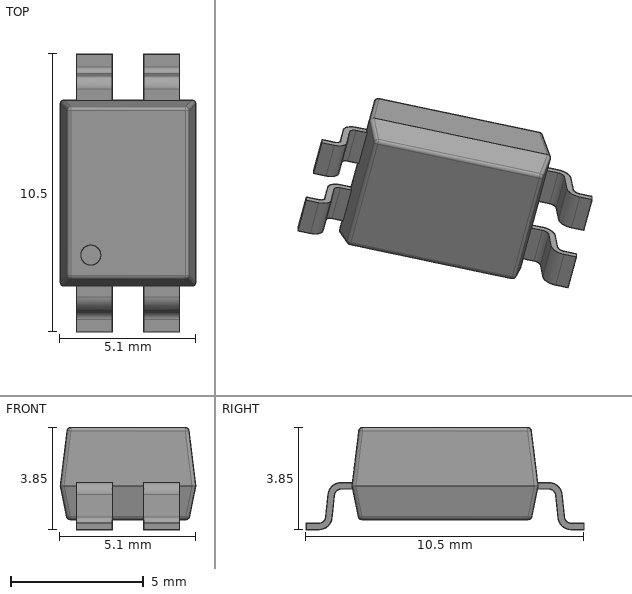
import cadquery as cq
import math

overall_length = 10.46
overall_height = 3.85
body_width = 5.1
body_length = 7.01
body_bottom = 0.38
seam_height = 1.65
upper_draft = 7.0
lower_draft = 11.5
body_fillet = 0.15

lead_thickness = 0.25
lead_width = 1.36
lead_pitch = 2.53
lead_lean = 6.0
knee_y = 4.36
inner_bend_radius = 0.25
outer_bend_radius = inner_bend_radius + lead_thickness
lead_embed = 0.31

marker_radius = 0.38
marker_depth = 0.1
marker_x = -1.4
marker_y = -2.33


def make_half(height, draft):
    """Tapered half of the moulded body, growing away from the seam."""
    return (
        cq.Workplane("XY")
        .workplane(offset=seam_height)
        .rect(body_width, body_length)
        .extrude(height, taper=draft)
    )


def make_body():
    """Two tapered halves with every edge rounded except the sharp seam."""
    upper = make_half(overall_height - seam_height, upper_draft)
    lower = make_half(body_bottom - seam_height, lower_draft)
    body = upper.union(lower)
    slanted_edges = body.edges("not(#Z)")
    rounded_edges = slanted_edges.add(body.faces("|Z").edges())
    return rounded_edges.fillet(body_fillet)


def make_lead():
    """Gull-wing lead on the +Y end, centred on X = 0."""
    slope = math.tan(math.radians(lead_lean))
    wall = lead_thickness / math.cos(math.radians(lead_lean))
    top = seam_height + lead_thickness / 2
    underside = top - lead_thickness
    root_y = body_length / 2 - lead_embed
    toe_y = overall_length / 2

    def outer_y(z):
        return knee_y + (top - z) * slope

    def inner_y(z):
        return outer_y(z) - wall

    upper_outer = (outer_y(top), top)
    lower_inner = (outer_y(lead_thickness), lead_thickness)
    upper_inner = (inner_y(underside), underside)
    lower_outer = (inner_y(0), 0)
    outline = [
        (root_y, top),
        upper_outer,
        lower_inner,
        (toe_y, lead_thickness),
        (toe_y, 0),
        lower_outer,
        upper_inner,
        (root_y, underside),
    ]
    lead = cq.Workplane("YZ").polyline(outline).close().extrude(lead_width / 2, both=True)

    def round_corners(solid, corners, radius):
        for y, z in corners:
            edge = cq.selectors.NearestToPointSelector((0, y, z))
            solid = solid.edges(edge).fillet(radius)
        return solid

    lead = round_corners(lead, [upper_outer, lower_outer], outer_bend_radius)
    return round_corners(lead, [upper_inner, lower_inner], inner_bend_radius)


def make_marker():
    """Disc set flush with the top face beside pin 1."""
    return (
        cq.Workplane("XY")
        .workplane(offset=overall_height - marker_depth)
        .center(marker_x, marker_y)
        .circle(marker_radius)
        .extrude(marker_depth)
    )


marker = make_marker()
housing = make_body()
lead = make_lead()
for end_angle in (0, 180):
    for side in (-1, 1):
        placed_lead = lead.translate((side * lead_pitch / 2, 0, 0))
        housing = housing.union(placed_lead.rotate((0, 0, 0), (0, 0, 1), end_angle))
housing = housing.cut(marker)

result = cq.Compound.makeCompound([housing.solids().val(), marker.val()])